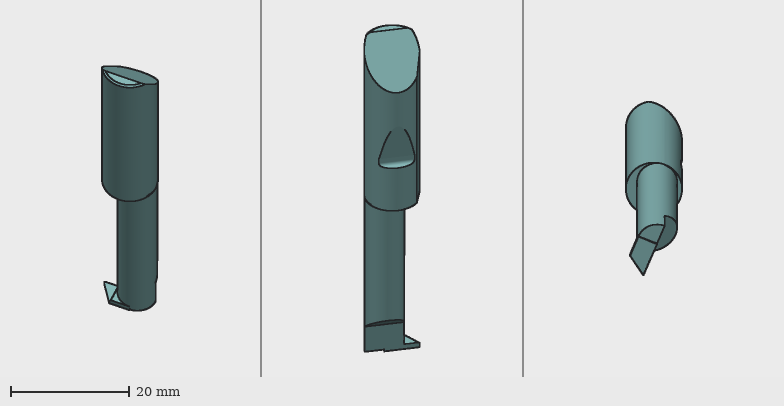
import cadquery as cq

total_length = 63.5
shank_radius = 4.75
shank_bottom = 31.75
cut_margin = 3.2

end_chamfer_width = 0.4
end_chamfer_height = 0.25
end_cut_front = -2.9
side_flat_distance = 4.45
side_flat_angle = 160.0
notch_bottom = 40.45
notch_top = 48.9
notch_depth = 1.15
notch_floor_bottom = 41.1
notch_floor_top = 41.9

neck_radius = 3.395
neck_center = shank_radius - neck_radius
neck_bottom = 0.4
relief_top = 8.6
relief_bottom = 5.5

tooth_top = 1.0
tooth_root_top = 1.2
tooth_root_x = -2.1
tooth_heel_x = -2.4
heel_bottom = 0.2
tooth_edge_radius = 0.25


def extrude_side_profile(points):
    """Extrude a (Y, Z) outline across the full shank width."""
    return cq.Workplane("YZ").polyline(points).close().extrude(shank_radius + cut_margin, both=True)


def make_shank():
    chamfer_inner = shank_radius - end_chamfer_width
    shank = (
        cq.Workplane("XZ")
        .moveTo(0, shank_bottom)
        .lineTo(shank_radius, shank_bottom)
        .lineTo(shank_radius, total_length - end_chamfer_height)
        .lineTo(chamfer_inner, total_length)
        .lineTo(0, total_length)
        .close()
        .revolve(360, (0, 0, 0), (0, 1, 0))
    )

    outside = shank_radius + cut_margin
    end_cut = extrude_side_profile([
        (end_cut_front, total_length),
        (outside, total_length - (outside - end_cut_front)),
        (outside, total_length),
    ])

    notch_floor = shank_radius - notch_depth
    notch = (
        cq.Workplane("YZ")
        .moveTo(outside, notch_bottom)
        .lineTo(notch_floor + notch_floor_bottom - notch_bottom, notch_bottom)
        .radiusArc((notch_floor, notch_floor_bottom), notch_floor_bottom - notch_bottom)
        .lineTo(notch_floor, notch_floor_top)
        .lineTo(shank_radius, notch_top)
        .lineTo(outside, notch_top)
        .close()
        .extrude(outside, both=True)
    )

    side_flat = (
        cq.Workplane("XY")
        .box(cut_margin, 2 * outside, total_length, centered=(False, True, False))
        .translate((side_flat_distance, 0, 0))
        .rotate((0, 0, 0), (0, 0, 1), side_flat_angle)
    )
    return shank.cut(end_cut).cut(notch).cut(side_flat)


def make_neck():
    neck = (
        cq.Workplane("XY", origin=(neck_center, 0, neck_bottom))
        .circle(neck_radius)
        .extrude(shank_bottom - neck_bottom)
    )
    relief = extrude_side_profile([
        (0, 0),
        (0, relief_bottom),
        (neck_radius, relief_top),
        (neck_radius + cut_margin, relief_top),
        (neck_radius + cut_margin, 0),
    ])
    return neck.cut(relief)


def make_tooth():
    tooth = (
        cq.Workplane("XY")
        .moveTo(neck_center, 0)
        .lineTo(-shank_radius, 0)
        .lineTo(tooth_heel_x, -neck_radius)
        .lineTo(neck_center, -neck_radius)
        .close()
        .extrude(tooth_top)
    )
    clearance = extrude_side_profile([(0, 0), (-neck_radius, heel_bottom), (-neck_radius, 0)])
    tooth = tooth.cut(clearance)

    end_normal = cq.Vector(-neck_radius, -(tooth_heel_x + shank_radius), 0)
    slanted_end = tooth.faces(cq.selectors.DirectionMinMaxSelector(end_normal, True))
    tooth = slanted_end.edges("not |Z").fillet(tooth_edge_radius)

    root = (
        cq.Workplane("XY", origin=(tooth_root_x, -neck_radius, heel_bottom))
        .box(neck_center - tooth_root_x, neck_radius, tooth_root_top - heel_bottom, centered=False)
    )
    return tooth.union(root)


result = make_shank().union(make_neck()).union(make_tooth())